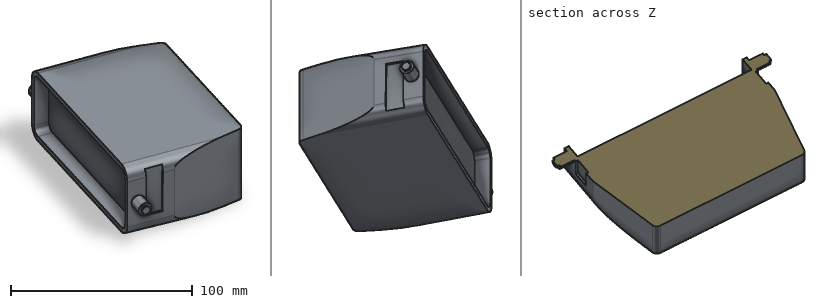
import cadquery as cq
import math

body_width = 120.0
body_length = 76.0
mouth_height = 44.0
back_height = 45.93
corner_radius = 7.5

slope_start = 28.6
slope_angle = 12.7
back_edge_radius = 3.5

wall = 2.9
cavity_depth = 9.0
cavity_radius = 4.5

pin_y = 6.5
pin_diameter = 8.0
pin_reach = 69.0
tip_diameter = 5.0
tip_reach = 70.4

recess_depth = 1.4
recess_y = 16.7
recess_top = 10.5
recess_top_width = 9.9
recess_taper = 0.7

half_width = body_width / 2


def make_body():
    """Block whose top and bottom spread towards the back, with rounded long edges and sloped ends."""
    side_profile = [
        (0, -mouth_height / 2),
        (body_length, -back_height / 2),
        (body_length, back_height / 2),
        (0, mouth_height / 2),
    ]
    block = cq.Workplane("YZ").polyline(side_profile).close().extrude(half_width, both=True)
    long_edges = block.faces("<X or >X").edges("not |Z")
    block = long_edges.fillet(corner_radius)

    slope_inset = (body_length - slope_start) * math.tan(math.radians(slope_angle))
    plan_profile = [
        (-half_width, 0),
        (half_width, 0),
        (half_width, slope_start),
        (half_width - slope_inset, body_length),
        (slope_inset - half_width, body_length),
        (-half_width, slope_start),
    ]
    plan = cq.Workplane("XY").polyline(plan_profile).close().extrude(back_height, both=True)
    plan = plan.edges("|Z and >Y").fillet(back_edge_radius)
    return block.intersect(plan)


def make_cavity():
    """Rounded rectangular pocket sunk into the mouth."""
    cavity = cq.Workplane("XY").box(
        body_width - 2 * wall,
        cavity_depth,
        mouth_height - 2 * wall,
        centered=(True, False, True),
    )
    return cavity.edges("|Y").fillet(cavity_radius)


def make_pin():
    """Stepped pin on the -X end, starting inside the end wall."""
    root = half_width - wall / 2
    axis_plane = cq.Plane(origin=(-root, pin_y, 0), xDir=(0, 1, 0), normal=(-1, 0, 0))
    shank = cq.Workplane(axis_plane).circle(pin_diameter / 2).extrude(pin_reach - root)
    tip = cq.Workplane(axis_plane).circle(tip_diameter / 2).extrude(tip_reach - root)
    return shank.union(tip)


def make_recess():
    """Recess of the -X end, widening downwards until it runs out through the rounded corner."""
    bottom = -mouth_height / 2
    half_top = recess_top_width / 2
    half_bottom = half_top + recess_taper / 2
    outline = [
        (recess_y - half_top, recess_top),
        (recess_y + half_top, recess_top),
        (recess_y + half_bottom, bottom),
        (recess_y - half_bottom, bottom),
    ]
    recess = cq.Workplane("YZ").polyline(outline).close().extrude(recess_depth)
    return recess.translate((-half_width, 0, 0))


def turned_about_y(shape, angle):
    return shape.rotate((0, 0, 0), (0, 1, 0), angle)


result = make_body().cut(make_cavity())

for end_angle in (0, 180):
    result = result.cut(turned_about_y(make_recess(), end_angle))
    result = result.union(turned_about_y(make_pin(), end_angle))